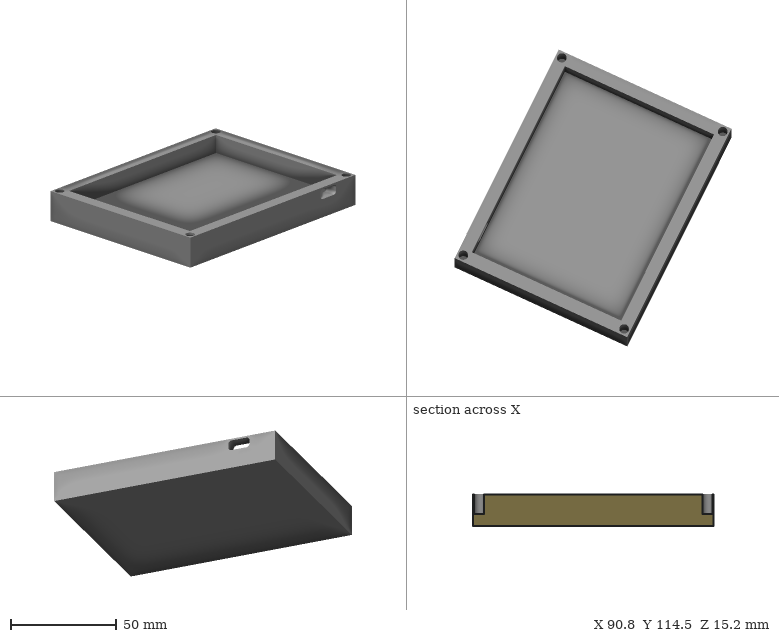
import cadquery as cq

width = 90.8
length = 114.5
height = 15.2

wall = 6.2
floor = 6.1
cavity_depth = height - floor

screw_hole_diameter = 4.6
screw_hole_depth = cavity_depth

opening_length = 10.9
opening_height = 5.0
opening_corner_radius = 1.6
opening_center_y = 38.5
opening_center_z = 11.8


def make_tray():
    block = cq.Workplane("XY").box(width, length, height, centered=(True, True, False))
    cavity = (
        cq.Workplane("XY")
        .workplane(offset=floor)
        .rect(width - 2 * wall, length - 2 * wall)
        .extrude(cavity_depth)
    )
    return block.cut(cavity)


def make_screw_holes():
    return (
        cq.Workplane("XY")
        .workplane(offset=height)
        .rect(width - wall, length - wall, forConstruction=True)
        .vertices()
        .circle(screw_hole_diameter / 2)
        .extrude(-screw_hole_depth)
    )


def make_cable_opening():
    inner_face_x = width / 2 - wall
    return (
        cq.Workplane("YZ", origin=(inner_face_x, opening_center_y, opening_center_z))
        .rect(opening_length, opening_height)
        .extrude(wall)
        .edges("|X")
        .fillet(opening_corner_radius)
    )


result = make_tray().cut(make_screw_holes()).cut(make_cable_opening())